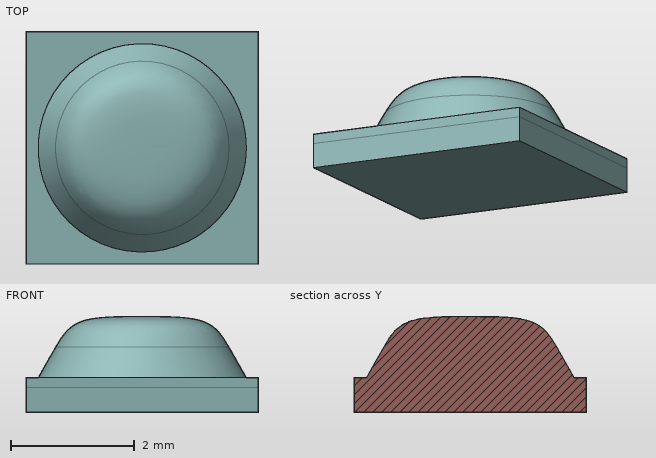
import cadquery as cq
import math

side = 3.75
lower_layer_height = 0.4
upper_layer_height = 0.158
base_height = lower_layer_height + upper_layer_height

lens_height = 0.99
skirt_height = lens_height / 2
skirt_bottom_radius = 1.68
skirt_top_radius = 1.4

rim_pull = 0.525
crown_pull = 0.975


def make_layer(bottom, height):
    """A square slab centred on the Z axis."""
    return cq.Workplane("XY", origin=(0, 0, bottom)).rect(side, side).extrude(height)


def make_lens():
    """The solid of revolution that stands on the base."""
    skirt_angle = math.atan2(skirt_height, skirt_bottom_radius - skirt_top_radius)
    dome_curve = [
        (skirt_top_radius, skirt_height),
        (
            skirt_top_radius - rim_pull * math.cos(skirt_angle),
            skirt_height + rim_pull * math.sin(skirt_angle),
        ),
        (crown_pull, lens_height),
        (0, lens_height),
    ]
    return (
        cq.Workplane("XZ", origin=(0, 0, base_height))
        .lineTo(skirt_bottom_radius, 0)
        .lineTo(skirt_top_radius, skirt_height)
        .bezier(dome_curve)
        .close()
        .revolve(360, (0, 0, 0), (0, 1, 0))
    )


lower_layer = make_layer(0, lower_layer_height)
upper_layer = make_layer(lower_layer_height, upper_layer_height)
result = lower_layer.union(upper_layer, clean=False).union(make_lens(), clean=False)